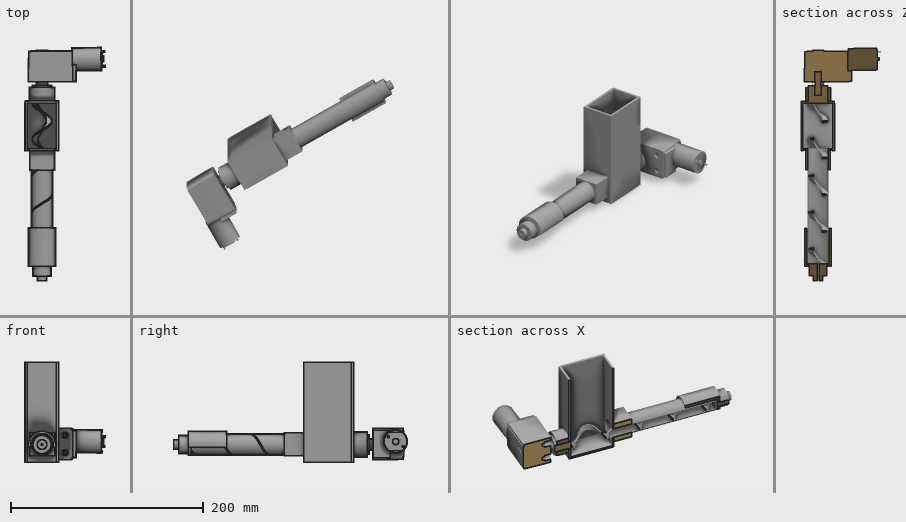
import cadquery as cq

hopper_width = 35.3
hopper_depth = 52.0
hopper_height = 104.0
hopper_wall = 2.5
hopper_left = -17.9
hopper_bottom = -18.4
panel_step = 0.3
hopper_front = -hopper_depth

auger_diameter = 20.52
blade_inner_radius = 4.35
blade_thickness = 2.0
auger_pitch = 38.0
blade_peak_y = -21.0
auger_hub_end = 16.0

bearing_diameter = 26.52
bearing_length = 14.0

block_width = 26.0
block_height = 24.0
block_length = 20.0
block_rise = 0.3
tube_diameter = 22.0
tube_length = 100.0
tube_bore = 21.0
tube_end_wall = 3.0
block_front = hopper_front - block_length
tube_front = block_front - tube_length
chamber_front = tube_front + tube_end_wall

clip_length = 40.0
clip_inner_radius = 23.3 / 2
clip_thickness = 2.5
clip_drop = 0.25
clip_lower_edge = -3.0

nozzle_diameter = 19.0
nozzle_length = 10.0
tip_diameter = 10.0
tip_length = 5.0
nozzle_bore = 1.8

gear_width = 46.3
gear_height = 33.0
gear_left = -14.4
gear_right = gear_left + gear_width
gear_center_x = gear_left + gear_width / 2
gear_center_z = 0.6
front_corner_radius = 2.5
rear_corner_radius = 2.7
rear_draft = 0.5
gear_front = 19.8
gear_split = 30.0
gear_rear = 51.3
rear_pad_inset = 3.0
rear_pad_height = 0.7
rear_boss_height = 0.6
flange_thickness = 3.5
flange_step = 0.3
flange_right = gear_right + flange_thickness
flange_height = 28.2
flange_rear = 37.6
screw_x = 23.9
screw_spacing_x = 33.0
screw_spacing_z = 18.0
screw_head_diameter = 6.3
screw_head_depth = 7.0
screw_hole_diameter = 3.0
collar_diameter = 12.0
collar_bore = 10.0

shaft_diameter = 6.0
shaft_engagement = 10.0

motor_diameter = 24.0
motor_length = 30.5
motor_center_y = 42.95
motor_center_z = 3.65
motor_seat_depth = 0.7
motor_tilt = 1.0
motor_start = gear_right - motor_seat_depth
motor_boss_diameter = 6.3
motor_boss_length = 2.2
end_tab_width = 12.6
end_tab_overhang = 0.7
end_tab_length = 1.4
end_tab_rise = 0.1
end_tab_depth = 2.5
terminal_diameter = 1.8
terminal_length = 3.65
terminal_offset_y = 7.6
terminal_offset_z = 5.1


def rod(diameter, y_start, y_end, x=0, z=0):
    """Cylinder along Y between two y positions."""
    return (
        cq.Workplane("XZ", origin=(x, y_start, z))
        .circle(diameter / 2)
        .extrude(y_start - y_end)
    )


def block(x_min, x_max, y_min, y_max, z_min, z_max):
    """Axis-aligned box between the given limits."""
    return cq.Workplane("XY").box(
        x_max - x_min, y_max - y_min, z_max - z_min, centered=False
    ).translate((x_min, y_min, z_min))


def make_hopper():
    """Open-topped box with holes for the auger hub and the feed tube."""
    right = hopper_left + hopper_width
    top = hopper_bottom + hopper_height
    shell = block(hopper_left, right, hopper_front, 0, hopper_bottom, top)
    cavity = block(
        hopper_left + hopper_wall, right - hopper_wall,
        hopper_front + hopper_wall, -hopper_wall,
        hopper_bottom + hopper_wall, top,
    )
    front_step = block(
        hopper_left + hopper_wall, right - hopper_wall,
        hopper_front, hopper_front + panel_step,
        hopper_bottom, top,
    )
    shell = shell.cut(cavity).cut(front_step)
    for x in (hopper_left, right - panel_step):
        shell = shell.cut(block(x, x + panel_step, -hopper_wall, 0, hopper_bottom, top))
    shell = shell.cut(rod(auger_diameter, -hopper_wall, 0))
    return shell.cut(rod(tube_bore, hopper_front, hopper_front + hopper_wall))


def make_auger():
    """Coreless helical blade on a solid hub with a socket for the output shaft."""
    blade_start = -hopper_wall
    blade_length = blade_start - chamber_front
    start_angle = 360 * (blade_peak_y - blade_start) / auger_pitch
    blade_height = auger_diameter / 2 - blade_inner_radius
    blade = (
        cq.Workplane("XZ", origin=(0, blade_start, 0))
        .transformed(rotate=(0, 0, start_angle))
        .pushPoints([(blade_inner_radius + blade_height / 2, 0)])
        .rect(blade_height, blade_thickness)
        .twistExtrude(blade_length, 360 * blade_length / auger_pitch)
    )
    hub = rod(auger_diameter, blade_start, auger_hub_end)
    hub = hub.cut(rod(shaft_diameter, auger_hub_end - shaft_engagement, auger_hub_end))
    return hub.union(blade)


def make_bearing_housing():
    housing = rod(bearing_diameter, 0, bearing_length)
    return housing.cut(rod(auger_diameter, 0, bearing_length))


def make_feed_tube():
    mount = block(
        -block_width / 2, block_width / 2, block_front, hopper_front + panel_step,
        block_rise - block_height / 2, block_rise + block_height / 2,
    )
    tube = mount.union(rod(tube_diameter, tube_front, block_front))
    tube = tube.cut(rod(tube_bore, chamber_front, hopper_front + panel_step))
    return tube.cut(rod(nozzle_diameter, tube_front, chamber_front))


def make_clip():
    """Ring around the front of the tube with its lower part cut away."""
    rear = tube_front + clip_length
    outer_diameter = 2 * (clip_inner_radius + clip_thickness)
    ring = rod(outer_diameter, tube_front, rear, z=-clip_drop)
    ring = ring.cut(rod(2 * clip_inner_radius, tube_front, rear, z=-clip_drop))
    below = block(
        -outer_diameter, outer_diameter, tube_front, rear,
        -outer_diameter, clip_lower_edge,
    )
    return ring.cut(below)


def make_nozzle():
    body_front = tube_front - nozzle_length
    tip_front = body_front - tip_length
    nozzle = rod(nozzle_diameter, body_front, chamber_front)
    nozzle = nozzle.union(rod(tip_diameter, tip_front, body_front))
    return nozzle.cut(rod(nozzle_bore, tip_front, chamber_front))


def gear_section(y, draft, corner_radius):
    """Rounded gearbox outline; the draft moves every side but the top inward."""
    plane = cq.Plane(
        origin=(gear_center_x, y, gear_center_z + draft / 2),
        xDir=(1, 0, 0),
        normal=(0, 1, 0),
    )
    outline = (
        cq.Sketch()
        .rect(gear_width - 2 * draft, gear_height - draft)
        .vertices()
        .fillet(corner_radius)
    )
    return cq.Workplane(plane).placeSketch(outline)


def make_collar():
    """Ring around the output shaft, open in its lower left quarter."""
    collar = rod(collar_diameter, auger_hub_end, gear_front)
    collar = collar.cut(rod(collar_bore, auger_hub_end, gear_front))
    return collar.cut(block(
        -collar_diameter, 0, auger_hub_end, gear_front, -collar_diameter, 0
    ))


def make_gearbox():
    """Drafted case with flange, rear pad, boss, collar and counterbored screw holes."""
    front_half = gear_section(gear_front, 0, front_corner_radius).extrude(gear_split - gear_front)
    split_outline = gear_section(gear_split, 0, front_corner_radius)
    rear_outline = gear_section(gear_rear, rear_draft, rear_corner_radius)
    rear_half = split_outline.add(rear_outline).loft(ruled=True)
    gearbox = front_half.union(rear_half)

    half_flange = flange_height / 2
    gearbox = gearbox.union(block(
        gear_right - flange_thickness, flange_right,
        gear_front + flange_step, flange_rear,
        gear_center_z - half_flange, gear_center_z + half_flange,
    ))

    half_pad = gear_height / 2 - rear_pad_inset
    pad_rear = gear_rear + rear_pad_height
    gearbox = gearbox.union(block(
        gear_left + rear_pad_inset, gear_right - rear_draft,
        gear_rear, pad_rear,
        gear_center_z - half_pad, gear_center_z + half_pad,
    ))
    gearbox = gearbox.union(rod(collar_diameter, gear_rear, pad_rear + rear_boss_height))
    gearbox = gearbox.union(make_collar())

    for x in (screw_x - screw_spacing_x, screw_x):
        for side in (-1, 1):
            z = gear_center_z + side * screw_spacing_z / 2
            head_end = gear_front + screw_head_depth
            gearbox = gearbox.cut(rod(screw_hole_diameter, gear_front, gear_split, x, z))
            gearbox = gearbox.cut(rod(screw_head_diameter, gear_front, head_end, x, z))
    gearbox = gearbox.cut(make_shaft())
    return gearbox.cut(motor_cylinder())


def make_shaft():
    return rod(
        shaft_diameter, auger_hub_end - shaft_engagement, gear_front + shaft_engagement
    )


def tilted(shape):
    """Lean a motor shape, built along X, toward +Y and -Z about the center of its seat."""
    seat = cq.Vector(motor_start, motor_center_y, motor_center_z)
    shape = shape.rotate(seat, seat + cq.Vector(0, 0, 1), motor_tilt)
    return shape.rotate(seat, seat + cq.Vector(0, 1, 0), motor_tilt)


def motor_cylinder():
    can = (
        cq.Workplane("YZ", origin=(motor_start, motor_center_y, motor_center_z))
        .circle(motor_diameter / 2)
        .extrude(motor_length)
    )
    return tilted(can)


def make_end_tabs():
    """Arc-shaped tabs at the top and bottom rim of the motor's outer end."""
    outer_radius = motor_diameter / 2 + end_tab_rise
    end_x = motor_start + motor_length + end_tab_overhang
    disc = (
        cq.Workplane(
            "YZ", origin=(end_x - end_tab_length, motor_center_y, motor_center_z)
        )
        .circle(outer_radius)
        .extrude(end_tab_length)
    )
    tabs = cq.Workplane("XY")
    for side in (-1, 1):
        window = cq.Workplane("XY").box(2 * end_tab_length, end_tab_width, 2 * end_tab_depth)
        window = window.translate(
            (end_x, motor_center_y, motor_center_z + side * outer_radius)
        )
        tabs = tabs.add(disc.intersect(window))
    return tabs.combine()


def make_motor():
    end_plane = cq.Workplane(
        "YZ", origin=(motor_start + motor_length, motor_center_y, motor_center_z)
    )
    boss = end_plane.circle(motor_boss_diameter / 2).extrude(motor_boss_length)
    terminals = (
        end_plane
        .pushPoints([
            (terminal_offset_y, -terminal_offset_z),
            (-terminal_offset_y, terminal_offset_z),
        ])
        .circle(terminal_diameter / 2)
        .extrude(terminal_length)
    )
    return (
        motor_cylinder()
        .union(tilted(make_end_tabs()))
        .union(tilted(boss))
        .union(tilted(terminals))
    )


hopper = make_hopper()
auger = make_auger()
bearing_housing = make_bearing_housing()
feed_tube = make_feed_tube()
clip = make_clip()
nozzle = make_nozzle()
gearbox = make_gearbox()
shaft = make_shaft()
motor = make_motor()

result = cq.Compound.makeCompound([
    hopper.val(),
    auger.val(),
    bearing_housing.val(),
    feed_tube.val(),
    clip.val(),
    nozzle.val(),
    gearbox.val(),
    shaft.val(),
    motor.val(),
])